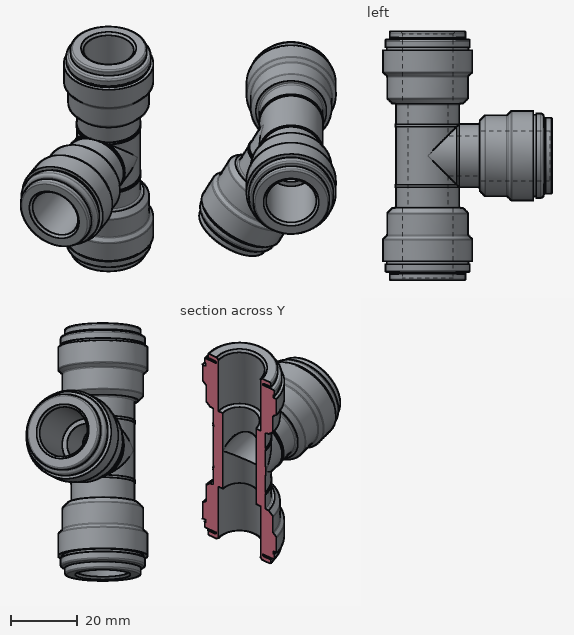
import cadquery as cq

arm_length = 37.2

flange_diameter = 22.8
neck_diameter = 16.9
collar_diameter = 25.3
groove_diameter = 24.5
body_diameter = 26.8
shank_diameter = 24.25
pipe_diameter = 19.0
band_diameter = 19.3

flange_depth = 1.9
collar_depth = 2.45
groove_depth = 4.8
body_depth = 5.65
body_end_depth = 12.3
shank_depth = 13.5
socket_end_depth = 21.65
band_depth = 27.8
band_width = 0.75

rim_fillet = 0.5
neck_fillet = 0.45
run_collar_fillet = 0.5
branch_collar_fillet = 1.1
body_fillet = 0.45
shank_chamfer = 1.55
pipe_root_fillet = 0.4
chamfer_blend = 0.4
match_tolerance = 0.01

tube_diameter = 15.0
through_diameter = 12.0
mouth_chamfer = 0.75
tube_stop_depth = socket_end_depth


def round_edges(solid, diameter, depth, radius):
    """Fillet the circular edge of the given diameter at the given depth."""
    z = arm_length - depth
    matching = [
        edge for edge in solid.edges("%CIRCLE").vals()
        if abs(edge.Center().z - z) < match_tolerance
        and abs(edge.radius() - diameter / 2) < match_tolerance
    ]
    return solid.newObject(matching).fillet(radius)


def arm(collar_fillet):
    """Solid outside of one arm, running from the origin along +Z."""
    steps = [
        (pipe_diameter, arm_length),
        (pipe_diameter, band_depth + band_width),
        (band_diameter, band_depth + band_width),
        (band_diameter, band_depth),
        (pipe_diameter, band_depth),
        (pipe_diameter, socket_end_depth),
        (shank_diameter - 2 * shank_chamfer, socket_end_depth),
        (shank_diameter, socket_end_depth - shank_chamfer),
        (shank_diameter, shank_depth),
        (body_diameter, body_end_depth),
        (body_diameter, body_depth),
        (groove_diameter, body_depth),
        (groove_diameter, groove_depth),
        (collar_diameter, groove_depth),
        (collar_diameter, collar_depth),
        (neck_diameter, collar_depth),
        (neck_diameter, flange_depth),
        (flange_diameter, flange_depth),
        (flange_diameter, 0),
    ]
    outline = [(diameter / 2, arm_length - depth) for diameter, depth in steps]
    profile = cq.Workplane("XZ").polyline([(0, 0), *outline, (0, arm_length)]).close()
    solid = profile.revolve(360, (0, 0, 0), (0, 1, 0))

    rounded_edges = [
        (flange_diameter, 0, rim_fillet),
        (neck_diameter, flange_depth, neck_fillet),
        (collar_diameter, collar_depth, collar_fillet),
        (body_diameter, body_end_depth, body_fillet),
        (shank_diameter, shank_depth, body_fillet),
        (shank_diameter, socket_end_depth - shank_chamfer, chamfer_blend),
        (pipe_diameter, socket_end_depth, pipe_root_fillet),
    ]
    for diameter, depth, radius in rounded_edges:
        solid = round_edges(solid, diameter, depth, radius)
    return solid


def bore():
    """Stepped bore of one arm: chamfered mouth, tube socket, through passage."""
    steps = [
        (through_diameter, arm_length),
        (through_diameter, tube_stop_depth),
        (tube_diameter, tube_stop_depth),
        (tube_diameter, mouth_chamfer),
        (tube_diameter + 2 * mouth_chamfer, 0),
    ]
    outline = [(diameter / 2, arm_length - depth) for diameter, depth in steps]
    profile = cq.Workplane("XZ").polyline([(0, 0), *outline, (0, arm_length)]).close()
    return profile.revolve(360, (0, 0, 0), (0, 1, 0))


def tee(run, branch):
    """Join two run arms along +Z and -Z with a branch arm along -Y."""
    lower_run = run.rotate((0, 0, 0), (1, 0, 0), 180)
    side_branch = branch.rotate((0, 0, 0), (1, 0, 0), 90)
    return run.union(lower_run).union(side_branch)


outside = tee(arm(run_collar_fillet), arm(branch_collar_fillet))
passages = tee(bore(), bore())
result = outside.cut(passages)